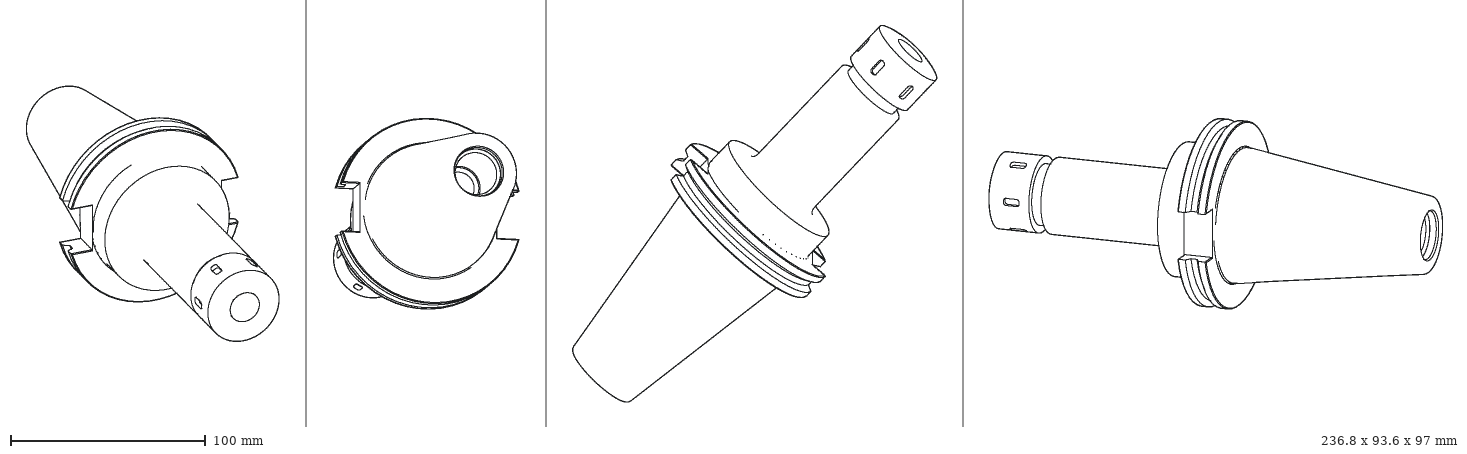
import cadquery as cq
import math

total_length = 236.8

taper_ratio = 7 / 24
gauge_diameter = 70.0
gauge_x = 102.3
taper_small_radius = (gauge_diameter - gauge_x * taper_ratio) / 2
taper_end_round = 2.0

flange_diameter = 97.0
flange_start_x = 105.1
flange_end_x = 120.8
flange_chamfer = 0.5
root_fillet = 0.7
groove_diameter = 90.7
groove_top_start_x = 109.5
groove_step_x = 110.8
groove_step_diameter = 91.9
groove_floor_start_x = 111.3
groove_floor_end_x = 114.5
groove_top_end_x = 116.5

slot_width = 25.3
slot_edge_chamfer = 0.5
front_slot_floor = 35.0
back_slot_floor = 37.5

shoulder_diameter = 69.8
shoulder_end_x = 136.4
shaft_diameter = 40.0
shaft_fillet = 5.5
shaft_end_x = 206.7
shaft_end_round = 0.7
neck_diameter = 32.0

mouth_diameter = 26.3
mouth_chamfer_length = 1.2
pilot_diameter = 25.3
pilot_depth = 4.7
thread_lead_in_diameter = 25.0
thread_diameter = 22.0
thread_end_x = 42.6
cone_diameter = 20.5
bore_diameter = 16.3
cone_half_angle = 60

nut_start_x = 213.0
nut_diameter = 40.0
nut_chamfer_start_x = 235.0
nut_chamfer_end_x = 236.0
nut_face_diameter = 30.5
nut_chamfer_end_diameter = 35.5

spanner_count = 6
spanner_start_x = 218.5
spanner_length = 8.5
spanner_width = 3.8
spanner_corner_radius = 1.5
spanner_depth = 2.4


def revolve_about_x(profile):
    return profile.close().revolve(360, (0, 0, 0), (1, 0, 0))


def holder_blank():
    shaft_radius = shaft_diameter / 2
    profile = (
        cq.Workplane("XY")
        .lineTo(0, taper_small_radius)
        .lineTo(gauge_x, gauge_diameter / 2)
        .lineTo(flange_start_x - root_fillet, gauge_diameter / 2)
        .radiusArc((flange_start_x, gauge_diameter / 2 + root_fillet), -root_fillet)
        .lineTo(flange_start_x, flange_diameter / 2 - flange_chamfer)
        .lineTo(flange_start_x + flange_chamfer, flange_diameter / 2)
        .lineTo(groove_top_start_x, flange_diameter / 2)
        .lineTo(groove_step_x, groove_step_diameter / 2)
        .lineTo(groove_floor_start_x, groove_diameter / 2)
        .lineTo(groove_floor_end_x, groove_diameter / 2)
        .lineTo(groove_top_end_x, flange_diameter / 2)
        .lineTo(flange_end_x - flange_chamfer, flange_diameter / 2)
        .lineTo(flange_end_x, flange_diameter / 2 - flange_chamfer)
        .lineTo(flange_end_x, shoulder_diameter / 2 + root_fillet)
        .radiusArc((flange_end_x + root_fillet, shoulder_diameter / 2), -root_fillet)
        .lineTo(shoulder_end_x, shoulder_diameter / 2)
        .lineTo(shoulder_end_x, shaft_radius + shaft_fillet)
        .radiusArc((shoulder_end_x + shaft_fillet, shaft_radius), -shaft_fillet)
        .lineTo(shaft_end_x - shaft_end_round, shaft_radius)
        .radiusArc((shaft_end_x, shaft_radius - shaft_end_round), shaft_end_round)
        .lineTo(shaft_end_x, neck_diameter / 2)
        .lineTo(nut_start_x, neck_diameter / 2)
        .lineTo(nut_start_x, 0)
    )
    return revolve_about_x(profile).faces("<X").edges().fillet(taper_end_round)


def drive_slot(side, floor):
    """Cutter for one slot: its walls flare out where they meet the two flange faces."""
    half_width = slot_width / 2
    mouth_half_width = half_width + slot_edge_chamfer
    start_x = flange_start_x - root_fillet
    end_x = flange_end_x + root_fillet
    upper_edge = [
        (start_x, mouth_half_width),
        (flange_start_x, mouth_half_width),
        (flange_start_x + slot_edge_chamfer, half_width),
        (flange_end_x - slot_edge_chamfer, half_width),
        (flange_end_x, mouth_half_width),
        (end_x, mouth_half_width),
    ]
    lower_edge = [(x, -z) for x, z in reversed(upper_edge)]
    outline = cq.Workplane("XZ", origin=(0, side * floor, 0)).polyline(upper_edge + lower_edge).close()
    return outline.extrude(-side * flange_diameter / 2)


def holder_bore():
    lead_in = (thread_lead_in_diameter - thread_diameter) / 2
    cone_length = (cone_diameter - bore_diameter) / 2 / math.tan(math.radians(cone_half_angle))
    profile = (
        cq.Workplane("XY")
        .lineTo(0, mouth_diameter / 2)
        .lineTo(mouth_chamfer_length, pilot_diameter / 2)
        .lineTo(pilot_depth, pilot_diameter / 2)
        .lineTo(pilot_depth, thread_lead_in_diameter / 2)
        .lineTo(pilot_depth + lead_in, thread_diameter / 2)
        .lineTo(thread_end_x, thread_diameter / 2)
        .lineTo(thread_end_x, cone_diameter / 2)
        .lineTo(thread_end_x + cone_length, bore_diameter / 2)
        .lineTo(nut_start_x, bore_diameter / 2)
        .lineTo(nut_start_x, 0)
    )
    return revolve_about_x(profile)


def make_holder():
    holder = holder_blank()
    holder = holder.cut(drive_slot(-1, front_slot_floor))
    holder = holder.cut(drive_slot(1, back_slot_floor))
    return holder.cut(holder_bore())


def spanner_slot(angle):
    slot = (
        cq.Workplane("XY")
        .workplane(offset=nut_diameter / 2 - spanner_depth)
        .center(spanner_start_x + spanner_length / 2, 0)
        .rect(spanner_length, spanner_width)
        .extrude(2 * spanner_depth)
        .edges("|Z")
        .fillet(spanner_corner_radius)
    )
    return slot.rotate((0, 0, 0), (1, 0, 0), angle)


def make_nut():
    profile = (
        cq.Workplane("XY")
        .moveTo(nut_start_x, bore_diameter / 2)
        .lineTo(nut_start_x, nut_diameter / 2)
        .lineTo(nut_chamfer_start_x, nut_diameter / 2)
        .lineTo(nut_chamfer_end_x, nut_chamfer_end_diameter / 2)
        .lineTo(total_length, nut_face_diameter / 2)
        .lineTo(total_length, bore_diameter / 2)
    )
    nut = revolve_about_x(profile)
    for index in range(spanner_count):
        nut = nut.cut(spanner_slot(90 + index * 360 / spanner_count))
    return nut


holder = make_holder()
nut = make_nut()
result = cq.Compound.makeCompound([holder.val(), nut.val()])